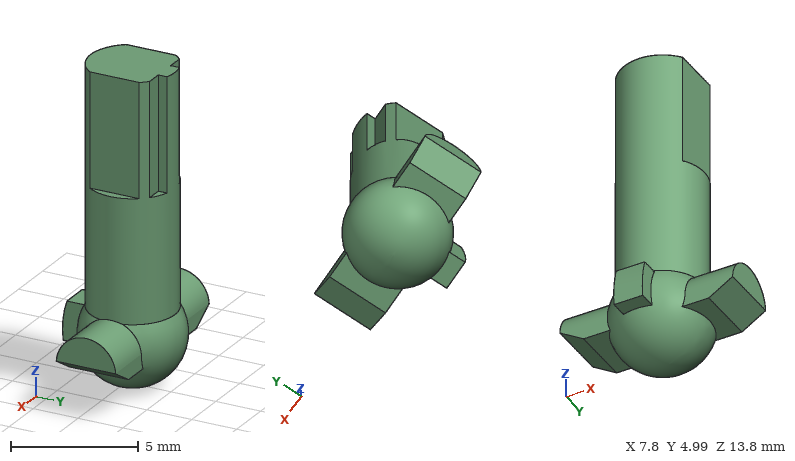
import cadquery as cq
import math

total_height = 13.75
trunnion_span = 7.8
total_depth = 4.99

ball_radius = 2.2
ball_center_z = ball_radius
shaft_diameter = 3.75
shaft_radius = shaft_diameter / 2

flats_height = 4.99
flats_width = 3.04
back_flat_y = 1.42
key_width = 1.03

trunnion_width = 2.65
trunnion_bottom_z = 1.54
trunnion_side_height = 0.66
trunnion_arch_height = 1.25
end_bevel_length = 1.07

lug_width = 1.29
lug_front_y = ball_radius - total_depth
lug_top_z = 3.26
lug_crest_z = 2.04
lug_face_radius = 3.85


def make_ball_and_shaft():
    ball = cq.Workplane("XY").sphere(ball_radius).translate((0, 0, ball_center_z))
    shaft = (
        cq.Workplane("XY")
        .workplane(offset=ball_center_z)
        .circle(shaft_radius)
        .extrude(total_height - ball_center_z)
    )
    return ball.union(shaft.cut(make_shaft_end_cutter()))


def make_shaft_end_cutter():
    """Material around the flats, leaving a key in the middle of the back."""
    block = cq.Workplane("XY").box(
        shaft_diameter * 2, shaft_diameter * 2, flats_height, centered=(True, True, False)
    )
    body = (
        cq.Workplane("XY")
        .box(flats_width, back_flat_y + shaft_diameter, flats_height, centered=(True, False, False))
        .translate((0, -shaft_diameter, 0))
    )
    key = cq.Workplane("XY").box(
        key_width, shaft_diameter, flats_height, centered=(True, False, False)
    )
    return block.cut(body).cut(key).translate((0, 0, total_height - flats_height))


def make_trunnions():
    half_span = trunnion_span / 2
    half_width = trunnion_width / 2
    arch_start_z = trunnion_bottom_z + trunnion_side_height
    bar = (
        cq.Workplane("YZ")
        .workplane(offset=-half_span)
        .moveTo(-half_width, trunnion_bottom_z)
        .lineTo(half_width, trunnion_bottom_z)
        .lineTo(half_width, arch_start_z)
        .threePointArc((0, arch_start_z + trunnion_arch_height), (-half_width, arch_start_z))
        .close()
        .extrude(trunnion_span)
    )
    for side in (-1, 1):
        bevel = (
            cq.Workplane("XZ")
            .moveTo(side * half_span, arch_start_z)
            .lineTo(side * half_span, trunnion_bottom_z)
            .lineTo(side * (half_span - end_bevel_length), trunnion_bottom_z)
            .close()
            .extrude(half_width, both=True)
        )
        bar = bar.cut(bevel)
    return bar


def lug_face_y(z):
    """Position of the lug's cylindrical front face at height z."""
    arc_center_y = lug_front_y + lug_face_radius
    return arc_center_y - math.sqrt(lug_face_radius**2 - (z - lug_crest_z) ** 2)


def make_lug():
    return (
        cq.Workplane("YZ")
        .moveTo(0, trunnion_bottom_z)
        .lineTo(lug_face_y(trunnion_bottom_z), trunnion_bottom_z)
        .threePointArc((lug_front_y, lug_crest_z), (lug_face_y(lug_top_z), lug_top_z))
        .lineTo(0, lug_top_z)
        .close()
        .extrude(lug_width / 2, both=True)
    )


result = make_ball_and_shaft().union(make_trunnions()).union(make_lug())